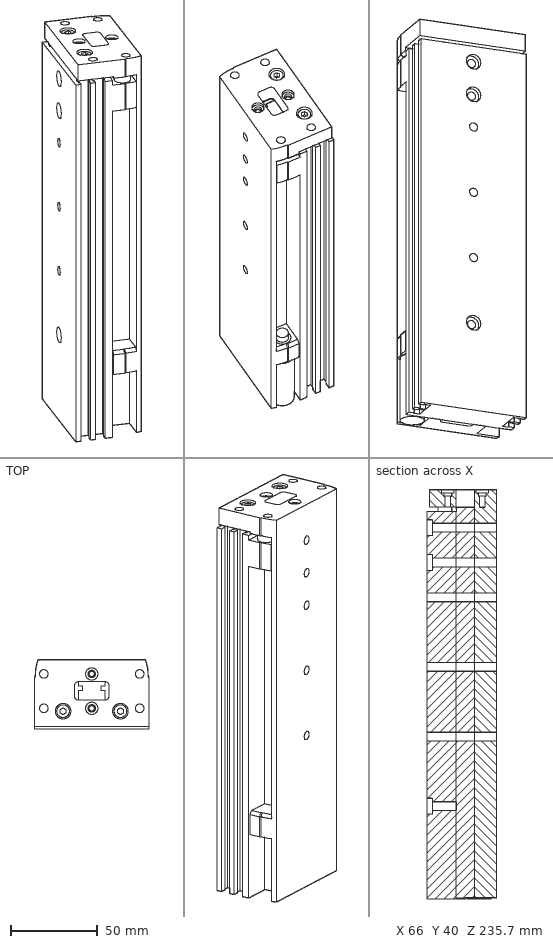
import cadquery as cq

width = 66.0
total_height = 235.7
total_depth = 40.0
half_width = width / 2

housing_top_z = 223.2
housing_back_y = 22.2
slot_centers_y = (6.1, 14.8)
slot_mouth_width = 5.7
slot_lip = 3.5
slot_inner_width = 7.0
slot_depth = 7.0
stop_bottom_z = 204.0
stop_top_z = 220.4

bolt_hole_diameter = 5.0
bolt_head_diameter = 9.0
bolt_head_depth = 3.0
bolt_pitch = 20.0
lowest_bolt_z = 53.5
aligned_bolt_zs = [lowest_bolt_z + steps * bolt_pitch for steps in (2, 4, 6, 7, 8)]
counterbored_bolt_zs = [lowest_bolt_z] + aligned_bolt_zs[-2:]

slider_bottom_z = 0.7
slider_front_y = 22.9
table_thickness = 3.0
table_inner_y = total_depth - table_thickness
web_half_width = 17.7
end_plate_front_y = 1.5
end_plate_bottom_z = 225.5
step_start_y = 29.7
step_end_y = 30.5
step_inset = 0.5
back_inset = 2.1
side_bulge = 0.5
lower_stop_bottom_z = 39.4
lower_stop_top_z = 53.5
end_boss_bottom_z = 221.8
stop_bevel = 2.0
stop_gap = 0.2

corner_hole_diameter = 5.0
corner_hole_depth = 7.0
corner_hole_x = 27.5
hole_row_ys = (12.0, 31.8)
center_hole_diameter = 3.0
center_step_diameter = 4.2
center_step_depth = 3.8
center_head_diameter = 7.0
center_head_depth = 2.0

guide_width = 19.8
guide_front_y = 16.7
guide_back_y = 27.3
guide_fillet = 2.1
shoulder_depth = 0.7
shoulder_inner_x = 7.5
notch_inner_x = 5.5
notch_front_y = 22.5
notch_back_y = 24.7

rod_x = 16.5
rod_y = 10.4
rod_diameter = 8.0
rod_bottom_z = 47.1
rod_neck_diameter = 5.0
rod_head_diameter = 7.3
rod_head_height = 5.0
rod_head_recess = 9.0
rod_head_recess_depth = 6.0
socket_size = 3.3
socket_depth = 3.0

absorber_x = -25.7
absorber_y = 30.0
absorber_diameter = 14.0
absorber_shoulder = 2.0
absorber_neck_diameter = 10.0
plunger_diameter = 7.0
plunger_top_z = 57.7
stud_x = 26.9
stud_diameter = 9.5
stud_top_z = 224.6


def box(x0, x1, y0, y1, z0, z1):
    """Axis-aligned block between two opposite corners."""
    return cq.Workplane("XY").box(x1 - x0, y1 - y0, z1 - z0, centered=False).translate((x0, y0, z0))


def upright(x, y, diameter, z0, z1):
    """Cylinder along Z."""
    return cq.Workplane("XY", origin=(x, y, z0)).circle(diameter / 2).extrude(z1 - z0)


def cross_hole(z, diameter, depth):
    """Cylinder along +Y that starts at the housing front, on the center line."""
    return cq.Workplane("XZ", origin=(0, 0, z)).circle(diameter / 2).extrude(-depth)


def side_envelope(z0, z1):
    """Slider outline: full width in front, then a small step and curved sides toward the back."""
    step_x = half_width - step_inset
    back_x = half_width - back_inset
    middle_x = (step_x + back_x) / 2 + side_bulge
    middle_y = (step_end_y + total_depth) / 2
    return (
        cq.Workplane("XY", origin=(0, 0, z0))
        .moveTo(-half_width, 0)
        .lineTo(half_width, 0)
        .lineTo(half_width, step_start_y)
        .lineTo(step_x, step_end_y)
        .threePointArc((middle_x, middle_y), (back_x, total_depth))
        .lineTo(-back_x, total_depth)
        .threePointArc((-middle_x, middle_y), (-step_x, step_end_y))
        .lineTo(-half_width, step_start_y)
        .close()
        .extrude(z1 - z0)
    )


def side_block(side, y0, y1, z0, z1, web_gap=0.0):
    """Block from the slider web, or a gap beside it, out to the -X (side -1) or +X (side 1) side."""
    inner_x = side * (web_half_width + web_gap)
    outer_x = side * half_width
    block = box(min(inner_x, outer_x), max(inner_x, outer_x), y0, y1, z0, z1)
    return block.intersect(side_envelope(z0, z1))


def outer_edges(side, z):
    """Selector for a stop block's edges along the curved outer side at height z."""
    edge_margin = 0.12
    inner_x = half_width - 2 * back_inset
    return cq.selectors.BoxSelector(
        (side * inner_x, slider_front_y + edge_margin, z - edge_margin),
        (side * (half_width + edge_margin), table_inner_y - edge_margin, z + edge_margin),
    )


def guide_body(z1):
    """Guide bar with rounded corners, from the bottom of the slider up to z1."""
    bar = box(-guide_width / 2, guide_width / 2, guide_front_y, guide_back_y, slider_bottom_z, z1)
    return bar.edges("|Z").fillet(guide_fillet)


def rod_body(x):
    """Piston rod with a neck through the end plate and a socket head in the plate's recess."""
    recess_floor_z = total_height - rod_head_recess_depth
    head_top_z = recess_floor_z + rod_head_height
    rod = upright(x, rod_y, rod_diameter, rod_bottom_z, end_plate_bottom_z)
    rod = rod.union(upright(x, rod_y, rod_neck_diameter, end_plate_bottom_z, recess_floor_z))
    rod = rod.union(upright(x, rod_y, rod_head_diameter, recess_floor_z, head_top_z))
    socket = (
        cq.Workplane("XY", origin=(x, rod_y, head_top_z))
        .polygon(6, socket_size, circumscribed=True)
        .extrude(-socket_depth)
    )
    return rod.cut(socket)


def absorber_body():
    """Shock absorber: barrel below the slider's stop, neck through it and a plunger on top."""
    shoulder_z = lower_stop_bottom_z - absorber_shoulder
    barrel = upright(absorber_x, absorber_y, absorber_diameter, 0, lower_stop_bottom_z)
    barrel = barrel.faces(">Z").chamfer(absorber_shoulder / 2)
    neck = upright(absorber_x, absorber_y, absorber_neck_diameter, shoulder_z, lower_stop_top_z)
    plunger = upright(absorber_x, absorber_y, plunger_diameter, lower_stop_top_z, plunger_top_z)
    return barrel.union(neck).union(plunger)


def housing_body():
    body = box(-half_width, half_width, 0, housing_back_y, 0, housing_top_z)

    for side in (-1, 1):
        for slot_y in slot_centers_y:
            mouth = cq.Workplane("XY", origin=(side * half_width, slot_y, 0)).rect(
                2 * slot_lip, slot_mouth_width
            )
            body = body.cut(mouth.extrude(housing_top_z))
            inner_x = side * (half_width - (slot_lip + slot_depth) / 2)
            inner = cq.Workplane("XY", origin=(inner_x, slot_y, 0)).rect(
                slot_depth - slot_lip, slot_inner_width
            )
            body = body.cut(inner.extrude(housing_top_z))

    stop_back_y = table_inner_y - stop_gap
    for side in (-1, 1):
        body = body.union(
            side_block(side, housing_back_y, stop_back_y, stop_bottom_z, stop_top_z, web_gap=stop_gap)
        )
    body = body.union(upright(stud_x, absorber_y, stud_diameter, stop_top_z, stud_top_z))

    for z in [lowest_bolt_z] + aligned_bolt_zs:
        body = body.cut(cross_hole(z, bolt_hole_diameter, housing_back_y))
    for z in counterbored_bolt_zs:
        body = body.cut(cross_hole(z, bolt_head_diameter, bolt_head_depth))

    body = body.cut(guide_body(total_height))
    for x in (-rod_x, rod_x):
        body = body.cut(upright(x, rod_y, rod_diameter, rod_bottom_z, housing_top_z))
    return body


def slider_body():
    table = box(-half_width, half_width, table_inner_y, total_depth, slider_bottom_z, total_height)
    web = box(-web_half_width, web_half_width, slider_front_y, total_depth, slider_bottom_z, total_height)
    plate = box(
        -half_width, half_width, end_plate_front_y, total_depth, end_plate_bottom_z, total_height
    )
    body = table.union(web).union(plate).intersect(side_envelope(slider_bottom_z, total_height))

    for side in (-1, 1):
        stop = side_block(side, slider_front_y, table_inner_y, lower_stop_bottom_z, lower_stop_top_z)
        body = body.union(stop.edges(outer_edges(side, lower_stop_top_z)).chamfer(stop_bevel))

    boss = side_block(-1, slider_front_y, table_inner_y, end_boss_bottom_z, end_plate_bottom_z)
    body = body.union(boss.edges(outer_edges(-1, end_boss_bottom_z)).chamfer(stop_bevel))

    body = body.union(side_block(1, slider_front_y, total_depth, stud_top_z, total_height))

    for y in hole_row_ys:
        for x in (-corner_hole_x, corner_hole_x):
            body = body.cut(
                upright(x, y, corner_hole_diameter, total_height - corner_hole_depth, total_height)
            )
        body = body.cut(upright(0, y, center_hole_diameter, end_plate_bottom_z, total_height))
        body = body.cut(
            upright(0, y, center_step_diameter, total_height - center_step_depth, total_height)
        )
        body = body.cut(
            upright(0, y, center_head_diameter, total_height - center_head_depth, total_height)
        )
    for x in (-rod_x, rod_x):
        body = body.cut(upright(x, rod_y, rod_neck_diameter, end_plate_bottom_z, total_height))
        body = body.cut(
            upright(x, rod_y, rod_head_recess, total_height - rod_head_recess_depth, total_height)
        )

    for z in aligned_bolt_zs:
        body = body.cut(cross_hole(z, bolt_hole_diameter, total_depth))
    body = body.cut(guide_body(total_height))
    return body.cut(absorber_body())


def guide_rail():
    """Guide bar with lowered, notched shoulders at its top end and clear holes for the mounting bolts."""
    rail = guide_body(end_plate_bottom_z)
    floor_z = end_plate_bottom_z - shoulder_depth
    core = box(
        -shoulder_inner_x, shoulder_inner_x, guide_front_y, guide_back_y, floor_z, end_plate_bottom_z
    )
    notches = box(
        -shoulder_inner_x, shoulder_inner_x, notch_front_y, notch_back_y, floor_z, end_plate_bottom_z
    )
    tongue = box(-notch_inner_x, notch_inner_x, notch_front_y, notch_back_y, floor_z, end_plate_bottom_z)
    top_layer = box(-half_width, half_width, 0, total_depth, floor_z, end_plate_bottom_z)
    rail = rail.cut(top_layer.cut(core.cut(notches).union(tongue)))
    for z in aligned_bolt_zs:
        rail = rail.cut(cross_hole(z, bolt_hole_diameter, total_depth))
    return rail


housing = housing_body()
slider = slider_body()
guide = guide_rail()
absorber = absorber_body()
piston_rods = [rod_body(x) for x in (-rod_x, rod_x)]

result = cq.Compound.makeCompound(
    [housing.val(), slider.val(), guide.val(), absorber.val(), *[rod.val() for rod in piston_rods]]
)